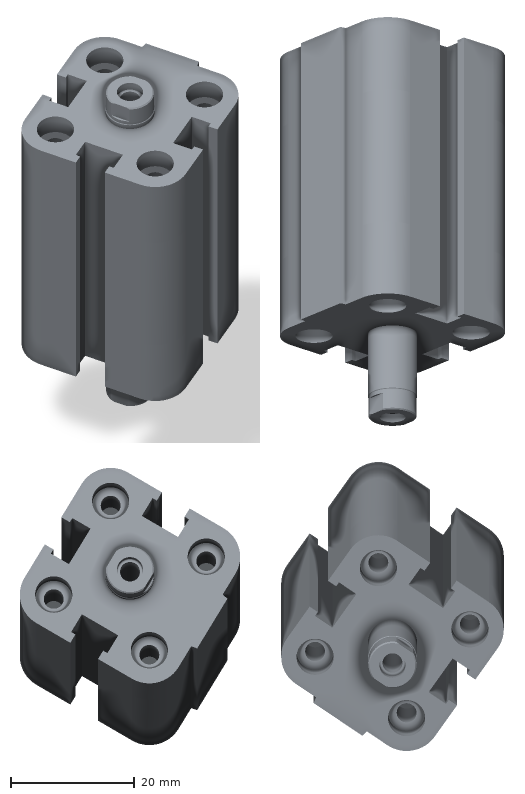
import cadquery as cq


side = 29.0
corner_radius = 5.5
cap_height = 12.5
barrel_height = 23.0
housing_height = 2 * cap_height + barrel_height

depth_over_rib = 30.0
rib_rise = depth_over_rib - side
rib_base_width = 10.0
rib_top_width = 9.6

slot_mouth_width = 5.2
slot_inner_width = 6.85
slot_depth = 5.0
slot_lip = 1.6

mount_offset = side / 2 - corner_radius
mount_counterbore_diameter = 6.0
mount_counterbore_depth = 3.5
mount_hole_diameter = 3.2
mount_hole_depth = cap_height

rod_length = 67.0
rod_bottom = -14.5
rod_top = rod_bottom + rod_length
rod_diameter = 8.0
neck_diameter = 7.8
neck_length = 3.55
shoulder_chamfer = (rod_diameter - neck_diameter) / 2
end_chamfer = 0.2
flat_spacing = 7.05
flat_length = 2.9
bore_diameter = 3.2
bore_counterbore_diameter = 4.2
bore_counterbore_depth = 1.5


def cylinder(diameter, z_start, z_end):
    """Cylinder on the rod axis between two heights."""
    return cq.Workplane().workplane(offset=z_start).circle(diameter / 2).extrude(z_end - z_start)


def make_slot(height):
    """T-shaped slot cutter that opens on the +X face."""
    mouth = cq.Workplane().box(slot_depth, slot_mouth_width, height, centered=(False, True, False))
    pocket = cq.Workplane().box(
        slot_depth - slot_lip, slot_inner_width, height, centered=(False, True, False)
    )
    return mouth.union(pocket).translate((side / 2 - slot_depth, 0, 0))


def make_section(height):
    """One length of the housing profile: rounded square, rib and three slots."""
    section = cq.Workplane().rect(side, side).extrude(height).edges("|Z").fillet(corner_radius)

    rib_root = side / 2 - rib_rise
    rib_top = side / 2 + rib_rise
    rib = (
        cq.Workplane()
        .moveTo(-rib_base_width / 2, rib_root)
        .lineTo(-rib_base_width / 2, side / 2)
        .lineTo(-rib_top_width / 2, rib_top)
        .lineTo(rib_top_width / 2, rib_top)
        .lineTo(rib_base_width / 2, side / 2)
        .lineTo(rib_base_width / 2, rib_root)
        .close()
        .extrude(height)
    )
    section = section.union(rib)

    slot = make_slot(height)
    for angle in (0, 180, 270):
        section = section.cut(slot.rotate((0, 0, 0), (0, 0, 1), angle))
    return section


def drill_mounts(housing, face):
    """Sink the four counterbored blind holes into one end face."""
    return (
        housing.faces(face)
        .workplane(origin=(0, 0, 0))
        .rect(2 * mount_offset, 2 * mount_offset, forConstruction=True)
        .vertices()
        .cboreHole(
            mount_hole_diameter,
            mount_counterbore_diameter,
            mount_counterbore_depth,
            depth=mount_hole_depth,
            clean=False,
        )
    )


def make_housing():
    """Cap, barrel and cap as one solid; the joint lines stay as edges."""
    housing = make_section(cap_height)
    barrel = make_section(barrel_height).translate((0, 0, cap_height))
    upper_cap = make_section(cap_height).translate((0, 0, cap_height + barrel_height))
    housing = housing.union(barrel, clean=False).union(upper_cap, clean=False)

    for face in (">Z", "<Z"):
        housing = drill_mounts(housing, face)
    return housing.cut(cylinder(rod_diameter, 0, housing_height), clean=False)


def make_flat_cutter(z_start):
    """Everything outside the two flats, over the length of the flats."""
    stock = cq.Workplane().box(
        2 * rod_diameter, 2 * rod_diameter, flat_length, centered=(True, True, False)
    )
    kept = cq.Workplane().box(
        2 * rod_diameter, flat_spacing, flat_length, centered=(True, True, False)
    )
    return stock.cut(kept).translate((0, 0, z_start))


def make_rod():
    """Rod with chamfered shoulders and ends, wrench flats and a stepped bore."""
    shank = cylinder(rod_diameter, rod_bottom + neck_length, rod_top - neck_length)
    shank = shank.faces("<Z or >Z").chamfer(shoulder_chamfer)
    necks = cylinder(neck_diameter, rod_bottom, rod_top).faces("<Z or >Z").chamfer(end_chamfer)
    rod = shank.union(necks)

    for z_start in (rod_bottom, rod_top - flat_length):
        rod = rod.cut(make_flat_cutter(z_start))

    rod = rod.cut(cylinder(bore_diameter, rod_bottom, rod_top))
    for z_start in (rod_bottom, rod_top - bore_counterbore_depth):
        z_end = z_start + bore_counterbore_depth
        rod = rod.cut(cylinder(bore_counterbore_diameter, z_start, z_end))
    return rod


housing = make_housing()
rod = make_rod()

result = cq.Compound.makeCompound([*housing.solids().vals(), *rod.solids().vals()])